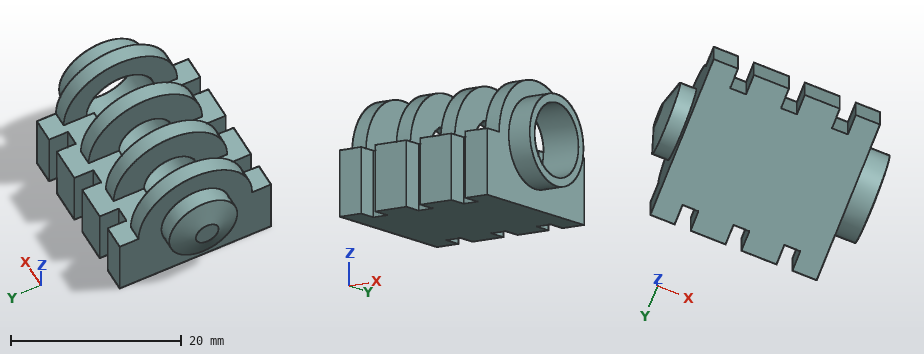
import cadquery as cq

length = 27.0
width = 20.0
axis_height = 8.0

barrel_diameter = 15.0
bore_diameter = 7.0
collar_diameter = 11.07
collar_length = 3.0
plug_diameter = 9.0
plug_length = 3.0
cone_length = 1.0
tip_diameter = 3.0
socket_diameter = plug_diameter

ring_count = 4
ring_thickness = 2.0

slot_count = 3
slot_width = 2.0
slot_pitch = 6.43
slot_depth = (width - barrel_diameter) / 2

body_length = length - collar_length - plug_length
ring_pitch = (body_length - ring_thickness) / (ring_count - 1)


def x_cylinder(diameter, start, cylinder_length):
    """Cylinder along the barrel axis, starting at X = start."""
    return (
        cq.Workplane("YZ", origin=(start, 0, axis_height))
        .circle(diameter / 2)
        .extrude(cylinder_length)
    )


def make_plug():
    """Solid end pin with a tapered nose, pointing to -X."""
    base_radius = plug_diameter / 2
    tip_radius = tip_diameter / 2
    return (
        cq.Workplane("XY", origin=(0, 0, axis_height))
        .moveTo(0, 0)
        .lineTo(-plug_length, 0)
        .lineTo(-plug_length, tip_radius)
        .lineTo(cone_length - plug_length, base_radius)
        .lineTo(0, base_radius)
        .close()
        .revolve(360, (0, 0, 0), (1, 0, 0))
    )


body = cq.Workplane("XY").box(body_length, width, axis_height, centered=(False, True, False))

for index in range(slot_count):
    slot_x = body_length / 2 + (index - (slot_count - 1) / 2) * slot_pitch
    for side in (-1, 1):
        slot = (
            cq.Workplane("XY")
            .center(slot_x, side * (width - slot_depth) / 2)
            .rect(slot_width, slot_depth)
            .extrude(axis_height)
        )
        body = body.cut(slot)

for index in range(ring_count):
    body = body.union(x_cylinder(barrel_diameter, index * ring_pitch, ring_thickness))

body = body.union(x_cylinder(collar_diameter, body_length, collar_length))

bore_length = body_length - 2 * ring_thickness
body = body.cut(x_cylinder(bore_diameter, ring_thickness, bore_length))

socket_start = body_length - ring_thickness
body = body.cut(x_cylinder(socket_diameter, socket_start, ring_thickness + collar_length))

result = body.union(make_plug())